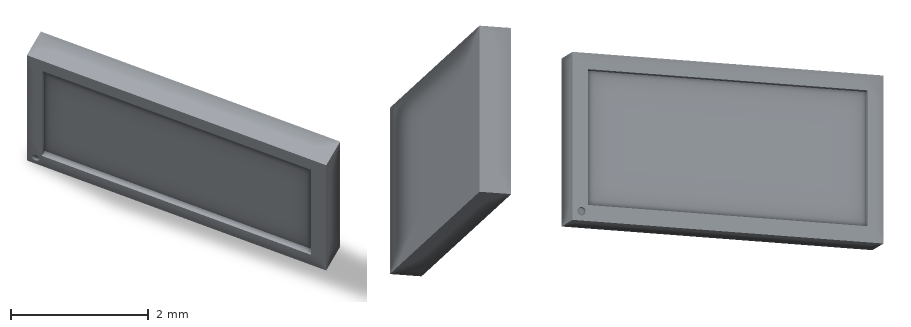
import cadquery as cq

LENGTH = 4.8
THICKNESS = 0.48
HEIGHT = 2.5
FRONT_Y = -THICKNESS / 2
BACK_Y = THICKNESS / 2

RIM = 0.24
RECESS_DEPTH = 0.1
WINDOW_LENGTH = LENGTH - 2 * RIM
WINDOW_HEIGHT = HEIGHT - 2 * RIM

PAD_LENGTH = 0.5
PAD_THICKNESS = 0.15
PAD_HEIGHT = PAD_LENGTH
INNER_PAD_X = 0.69
OUTER_PAD_X = 2.0
PAD_CENTRES_X = (-OUTER_PAD_X, -INNER_PAD_X, INNER_PAD_X, OUTER_PAD_X)
PAD_CENTRE_Z = (HEIGHT - PAD_HEIGHT) / 2

PANEL_THICKNESS = THICKNESS - RECESS_DEPTH - PAD_THICKNESS

MARKER_DIAMETER = 0.125
MARKER_DEPTH = 0.05
MARKER_INSET = 0.14


def block(length, thickness, height, front_y, centre_x=0.0, centre_z=0.0):
    """A box centred on (centre_x, centre_z) that runs back from front_y."""
    return (
        cq.Workplane("XY")
        .box(length, thickness, height, centered=(True, False, True))
        .translate((centre_x, front_y, centre_z))
    )


def make_panel():
    return block(WINDOW_LENGTH, PANEL_THICKNESS, WINDOW_HEIGHT, FRONT_Y + RECESS_DEPTH)


def make_pad(centre_x, centre_z):
    return block(PAD_LENGTH, PAD_THICKNESS, PAD_HEIGHT, BACK_Y - PAD_THICKNESS, centre_x, centre_z)


def make_marker_hole():
    marker_x = -LENGTH / 2 + MARKER_INSET
    marker_z = -HEIGHT / 2 + MARKER_INSET
    return (
        cq.Workplane("XZ", origin=(marker_x, FRONT_Y + MARKER_DEPTH, marker_z))
        .circle(MARKER_DIAMETER / 2)
        .extrude(MARKER_DEPTH)
    )


def make_housing(pads):
    housing = block(LENGTH, THICKNESS, HEIGHT, FRONT_Y)
    window_pocket = block(WINDOW_LENGTH, RECESS_DEPTH + PANEL_THICKNESS, WINDOW_HEIGHT, FRONT_Y)
    housing = housing.cut(window_pocket).cut(make_marker_hole())
    for pad in pads:
        housing = housing.cut(pad)
    return housing


panel = make_panel()
pads = [make_pad(x, z) for z in (-PAD_CENTRE_Z, PAD_CENTRE_Z) for x in PAD_CENTRES_X]
housing = make_housing(pads)

result = cq.Compound.makeCompound([housing.val(), panel.val(), *[pad.val() for pad in pads]])